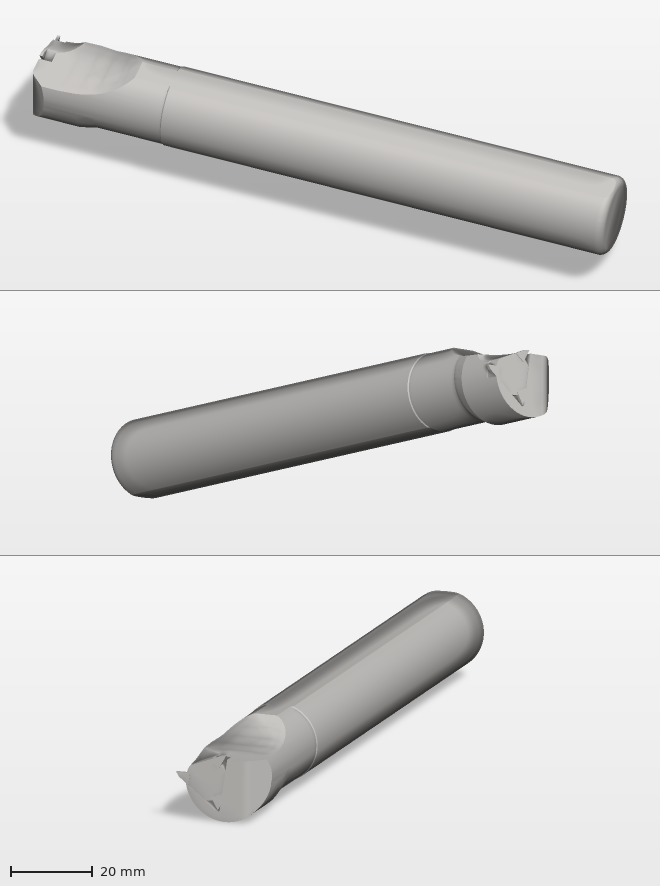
import cadquery as cq
import math


overall_length = 150.0
overall_width = 23.5
shank_radius = 9.98
flat_height = 9.3
end_round = 2.0
neck_radius = 9.8
neck_end = 35.0
shoulder_bevel = 0.3

head_bottom = -11.5
head_radius = 10.4
head_center_y = 0.8
head_center_z = head_bottom + head_radius
head_length = 13.2
blend_end = 17.7
corner_y = -5.0
corner_round = 2.8

chip_face_z = 4.4
scoop_flat_end = 9.0
scoop_mid = (17.7, 5.5)
scoop_end = 26.0
scoop_end_slope = 0.6

tip_y = overall_width - shank_radius
tip_z = 0.0
tip_reach = 8.1
tip_angle = 8.6
core_inradius = 4.5
core_round_radius = 5.4
core_setback = 0.2
tooth_thickness = 0.8
tooth_root_reach = 4.5
tooth_heel_travel = 5.7
seat_depth = 3.3
seat_end_reach = 8.4
insert_y = tip_y - tip_reach * math.cos(math.radians(tip_angle))
insert_z = tip_z - tip_reach * math.sin(math.radians(tip_angle))

clearance_radius = 8.4

cut_margin = 15.0


def cross_section(x=0.0):
    """Plane across the bar: local x is +Y and local y is +Z, extruding to +X."""
    return cq.Workplane(cq.Plane(origin=(x, 0, 0), xDir=(0, 1, 0), normal=(1, 0, 0)))


def insert_section(x, angle):
    """Plane across the insert axis, its local x turned by angle from +Y."""
    turn = math.radians(angle)
    return cq.Workplane(cq.Plane(
        origin=(x, insert_y, insert_z),
        xDir=(0, math.cos(turn), math.sin(turn)),
        normal=(1, 0, 0),
    ))


def triangle_prism(start, end):
    """Triangle around the insert axis, with corners in the tooth directions."""
    corner_reach = 2 * core_inradius
    half_side = core_inradius * math.sqrt(3)
    corners = [(corner_reach, 0), (-core_inradius, half_side), (-core_inradius, -half_side)]
    return insert_section(start, tip_angle).polyline(corners).close().extrude(end - start)


def make_bar_blank():
    shank = cross_section(neck_end).circle(shank_radius).extrude(overall_length - neck_end)
    shank = shank.faces(">X").edges().fillet(end_round)
    shank = shank.faces("<X").edges().chamfer(shoulder_bevel)
    neck = cross_section().circle(neck_radius).extrude(neck_end)
    head = cross_section().center(head_center_y, head_center_z).circle(head_radius).extrude(head_length)
    blend = (
        cross_section(head_length)
        .center(head_center_y, head_center_z).circle(head_radius)
        .workplane(offset=blend_end - head_length)
        .center(-head_center_y, -head_center_z).circle(neck_radius)
        .loft(combine=True)
    )
    return shank.union(neck).union(blend).union(head)


def flat_cutter(x_start, side):
    length = overall_length + cut_margin - x_start
    return (
        cq.Workplane("XY")
        .box(length, 2 * cut_margin, cut_margin, centered=(False, True, False))
        .translate((x_start, 0, flat_height if side > 0 else -flat_height - cut_margin))
    )


def scoop_cutter():
    """Nearly level chip face that curves up until it runs out through the top flat."""
    return (
        cq.Workplane("XZ", origin=(0, cut_margin, 0))
        .moveTo(0, chip_face_z)
        .spline(
            [(scoop_flat_end, chip_face_z), scoop_mid, (scoop_end, flat_height)],
            tangents=[(1, 0), (1, scoop_end_slope)], includeCurrent=True,
        )
        .lineTo(scoop_end, cut_margin)
        .lineTo(0, cut_margin)
        .close()
        .extrude(2 * cut_margin)
    )


def corner_cutter():
    """Rounded 45-degree cut on the front corner of the -Y side."""
    turn = math.radians(45)
    tangent = corner_round * math.tan(turn / 2)
    arc_center_y = corner_y + tangent

    def arc_point(angle):
        return corner_round * (1 - math.cos(angle)), arc_center_y - corner_round * math.sin(angle)

    return (
        cq.Workplane("XY")
        .moveTo(0, arc_center_y)
        .threePointArc(arc_point(turn / 2), arc_point(turn))
        .lineTo(cut_margin, corner_y - cut_margin)
        .lineTo(0, corner_y - cut_margin)
        .close()
        .extrude(cut_margin, both=True)
    )


def seat_cutter():
    seat_limit = (
        insert_section(0, tip_angle - 120)
        .center(seat_end_reach - cut_margin, 0)
        .rect(2 * cut_margin, 2 * cut_margin)
        .extrude(seat_depth)
    )
    return triangle_prism(0, seat_depth).intersect(seat_limit)


def clearance_cutter():
    """Removes the head above the insert and curves up behind it."""
    upper_side = tip_angle + 60
    turn = math.radians(upper_side)
    plane = cq.Plane(
        origin=(0, insert_y, insert_z),
        xDir=(1, 0, 0),
        normal=(0, -math.sin(turn), math.cos(turn)),
    )
    quarter = clearance_radius * math.sqrt(0.5)
    arc_top = core_inradius + clearance_radius
    return (
        cq.Workplane(plane)
        .moveTo(0, core_inradius)
        .lineTo(seat_depth, core_inradius)
        .threePointArc((seat_depth + quarter, arc_top - quarter), (seat_depth + clearance_radius, arc_top))
        .lineTo(0, arc_top)
        .close()
        .extrude(cut_margin, both=True)
    )


def make_bar():
    bar = make_bar_blank()
    bar = bar.cut(flat_cutter(blend_end, 1))
    bar = bar.cut(flat_cutter(neck_end, -1))
    bar = bar.cut(scoop_cutter())
    bar = bar.cut(corner_cutter())
    bar = bar.cut(clearance_cutter())
    return bar.cut(seat_cutter())


def make_tooth(angle):
    rake_drop = math.tan(math.radians(tip_angle))
    side_cos = math.cos(math.radians(30))
    side_sin = math.sin(math.radians(30))
    heel = (
        core_inradius * side_sin + tooth_heel_travel * side_cos,
        -core_inradius * side_cos + tooth_heel_travel * side_sin,
    )
    root_top = (tooth_root_reach, (tip_reach - tooth_root_reach) * rake_drop)
    root_bottom = (tooth_root_reach, heel[1] - (heel[0] - tooth_root_reach) * side_sin / side_cos)
    return (
        insert_section(0, angle)
        .polyline([(tip_reach, 0), root_top, root_bottom, heel])
        .close()
        .extrude(tooth_thickness)
    )


def make_insert():
    round_limit = insert_section(0, tip_angle).circle(core_round_radius).extrude(seat_depth)
    insert = triangle_prism(core_setback, seat_depth).intersect(round_limit)
    for tooth in range(3):
        insert = insert.union(make_tooth(tip_angle + 120 * tooth))
    return insert


bar = make_bar()
insert = make_insert()
result = cq.Compound.makeCompound([*bar.solids().vals(), *insert.solids().vals()])